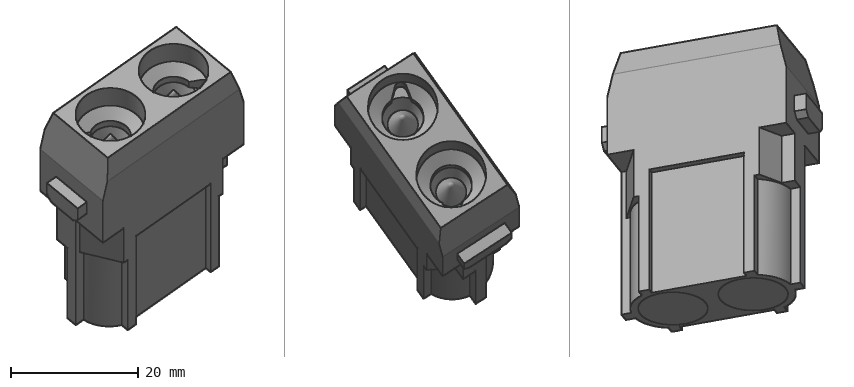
import cadquery as cq
import math

width = 14.6
depth = 30.15
height = 43.6
half_width = width / 2
half_depth = depth / 2

end_inset = 1.9
side_inset = 0.95
end_taper_height = 8.05
side_taper_height = end_taper_height * side_inset / end_inset

overall_depth = 34.1
tab_length = (overall_depth - depth) / 2
tab_bottom = 28.25
tab_top = 32.05
tab_chamfer = 1.0
front_tab_width = 7.15
rear_tab_width = 9.05

chamber_pitch = 13.5
chamber_radius = 5.5
funnel_throat_radius = 3.25
mouth_depth = 4.27
funnel_angle = 26.0
funnel_height = (chamber_radius - funnel_throat_radius) * math.tan(math.radians(funnel_angle))
contact_top = height - 6.7

window_tip_radius = 1.0
window_tip_offset = 4.45
window_side_angle = 19.0
window_direction = 60.0

lower_cutout_top = 17.0
upper_cutout_top = 25.38
tower_radius = 6.5
tower_pitch = 14.05
end_rib_half_width = 1.0
wide_rib_reach = 3.4
side_rib_edge = 9.75
flat_distance = 6.98
flat_angle = 30.0

panel_width = 15.95
panel_height = 21.4
panel_depth = 1.15

contact_cup_radius = 3.7
cone_base_radius = 2.4
cone_angle = 62.0
cone_slope = math.tan(math.radians(cone_angle))
cup_bottom = contact_top - (contact_cup_radius - cone_base_radius) * cone_slope
cone_tip = cup_bottom + cone_base_radius * cone_slope


def tapered_outline(plane, half_size, inset, taper_height):
    """Rectangle from the bottom face up, with its two sides leaning in at the top."""
    return cq.Workplane(plane).polyline([
        (-half_size, 0),
        (half_size, 0),
        (half_size, height - taper_height),
        (half_size - inset, height),
        (inset - half_size, height),
        (-half_size, height - taper_height),
    ]).close()


def tapered_block():
    side_leaning = tapered_outline("XZ", half_width, side_inset, side_taper_height).extrude(half_depth, both=True)
    end_leaning = tapered_outline("YZ", half_depth, end_inset, end_taper_height).extrude(half_width, both=True)
    return side_leaning.intersect(end_leaning)


def end_tab(end, tab_width):
    """Tab on the end at end * Y, chamfered along its two lower edges."""
    tab = cq.Workplane("XY").box(tab_width, tab_length, tab_top - tab_bottom)
    tab = tab.faces("<Z").edges("|Y").chamfer(tab_chamfer)
    return tab.translate((0, end * (half_depth + tab_length / 2), (tab_bottom + tab_top) / 2))


def lower_cutout(side, end):
    """Square corner cutout that leaves the round tower around the chamber."""
    size_x = half_width - end_rib_half_width
    size_y = half_depth - side_rib_edge
    corner = cq.Workplane("XY").box(size_x, size_y, lower_cutout_top, centered=(True, True, False))
    corner = corner.translate((
        side * (half_width - size_x / 2),
        end * (half_depth - size_y / 2),
        0,
    ))
    tower = cq.Workplane("XY").center(0, end * tower_pitch / 2).circle(tower_radius).extrude(lower_cutout_top)
    return corner.cut(tower)


def upper_cutout(side, end):
    """Corner cutout bounded by a rib side and a slanted flat; alternate corners are wider."""
    inner_x = end_rib_half_width if side * end < 0 else wide_rib_reach
    slant = math.radians(flat_angle)

    def flat_y(x):
        return chamber_pitch / 2 + (flat_distance - x * math.sin(slant)) / math.cos(slant)

    outline = [
        (inner_x, half_depth),
        (inner_x, flat_y(inner_x)),
        (half_width, flat_y(half_width)),
        (half_width, half_depth),
    ]
    return (
        cq.Workplane("XY", origin=(0, 0, lower_cutout_top))
        .polyline([(side * x, end * y) for x, y in outline])
        .close()
        .extrude(upper_cutout_top - lower_cutout_top)
    )


def side_panel(side):
    return (
        cq.Workplane("XY")
        .box(panel_depth, panel_width, panel_height, centered=(True, True, False))
        .translate((side * (half_width - panel_depth / 2), 0, 0))
    )


def chamber(end):
    """Mouth, funnel and throat, then the bore that holds the contact."""
    funnel_top = height - mouth_depth
    profile = [
        (0, 0),
        (chamber_radius, 0),
        (chamber_radius, contact_top),
        (funnel_throat_radius, contact_top),
        (funnel_throat_radius, funnel_top - funnel_height),
        (chamber_radius, funnel_top),
        (chamber_radius, height),
        (0, height),
    ]
    space = cq.Workplane("XZ").polyline(profile).close().revolve(360, (0, 0, 0), (0, 1, 0))
    return space.translate((0, end * chamber_pitch / 2, 0))


def funnel_window(end):
    """Window from the contact's top face up through the funnel."""
    angle = math.radians(window_side_angle)
    tangent_x = window_tip_offset + window_tip_radius * math.sin(angle)
    tangent_y = window_tip_radius * math.cos(angle)
    axis_half_width = tangent_y + tangent_x * math.tan(angle)
    direction = window_direction if end > 0 else window_direction + 180
    return (
        cq.Workplane("XY")
        .moveTo(0, -axis_half_width)
        .lineTo(tangent_x, -tangent_y)
        .threePointArc((window_tip_offset + window_tip_radius, 0), (tangent_x, tangent_y))
        .lineTo(0, axis_half_width)
        .close()
        .extrude(height - mouth_depth - contact_top)
        .rotate((0, 0, 0), (0, 0, 1), direction)
        .translate((0, end * chamber_pitch / 2, contact_top))
    )


def make_housing():
    body = tapered_block()
    body = body.union(end_tab(-1, front_tab_width))
    body = body.union(end_tab(1, rear_tab_width))
    for side in (-1, 1):
        body = body.cut(side_panel(side))
        for end in (-1, 1):
            body = body.cut(lower_cutout(side, end))
            body = body.cut(upper_cutout(side, end))
    for end in (-1, 1):
        body = body.cut(chamber(end))
        body = body.cut(funnel_window(end))
    return body


def make_contact(end):
    """Round contact with a conical cup in its top and a pointed cone in the cup."""
    profile = [
        (0, 0),
        (chamber_radius, 0),
        (chamber_radius, contact_top),
        (contact_cup_radius, contact_top),
        (cone_base_radius, cup_bottom),
        (0, cone_tip),
    ]
    contact = cq.Workplane("XZ").polyline(profile).close().revolve(360, (0, 0, 0), (0, 1, 0))
    return contact.translate((0, end * chamber_pitch / 2, 0))


housing = make_housing()
contacts = [make_contact(end) for end in (-1, 1)]

result = cq.Compound.makeCompound([housing.val(), *[contact.val() for contact in contacts]])